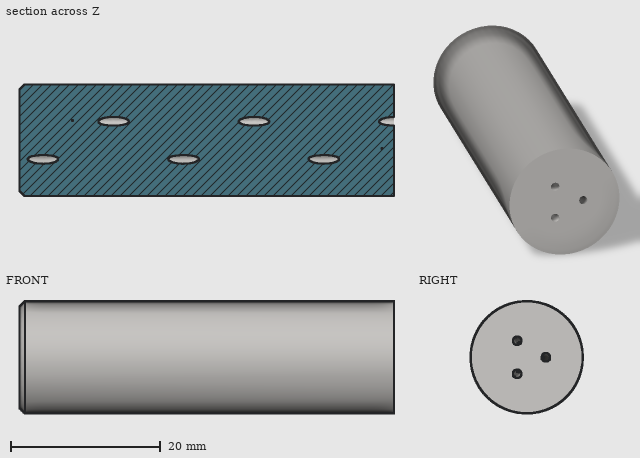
import cadquery as cq
import math

rod_length = 50.0
rod_diameter = 15.0
chamfer_size = 0.75

channel_count = 3
channel_diameter = 1.1
channel_circle_diameter = 5.1
first_channel_angle = 39.5
helix_angle = 40.0

channel_overrun = 3.0
helix_pitch = math.pi * rod_diameter / math.tan(math.radians(helix_angle))
overrun_twist = 360.0 * channel_overrun / helix_pitch


def make_rod():
    """Plain cylinder with the edge at X = 0 chamfered."""
    rod = cq.Workplane("YZ").circle(rod_diameter / 2).extrude(rod_length)
    return rod.faces("<X").edges().chamfer(chamfer_size)


def make_channel():
    """Round channel along a right-handed helix about X, crossing the X = 0 plane in the +Y direction."""
    path = cq.Wire.makeHelix(helix_pitch, rod_length + 2 * channel_overrun, channel_circle_diameter / 2)
    start_plane = cq.Plane(origin=path.startPoint(), normal=path.tangentAt(0))
    section = cq.Workplane(start_plane).circle(channel_diameter / 2)
    channel = section.sweep(cq.Workplane(obj=path), isFrenet=True)

    channel = channel.rotate((0, 0, 0), (0, 1, 0), 90).translate((-channel_overrun, 0, 0))
    return channel.rotate((0, 0, 0), (1, 0, 0), 90 - overrun_twist)


result = make_rod()
channel_at_y = make_channel()
for index in range(channel_count):
    channel_angle = first_channel_angle + index * 360.0 / channel_count
    result = result.cut(channel_at_y.rotate((0, 0, 0), (1, 0, 0), channel_angle))